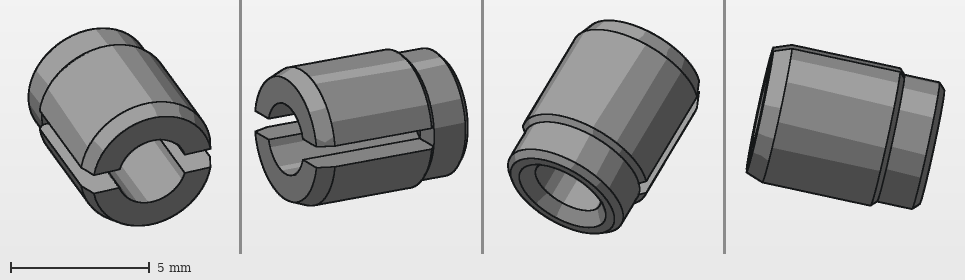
import cadquery as cq

length = 6.35
body_radius = 2.54
collar_radius = 2.34
bore_radius = 1.33

collar_length = 1.525
collar_chamfer = 0.235
countersink_radius = 1.76
countersink_depth = countersink_radius - bore_radius

shoulder_chamfer = body_radius - collar_radius
lead_in_length = 0.635
lead_in_radius = 2.305
slot_width = 0.795


def make_sleeve():
    """Revolve the half section, given as (X, radius), about the X axis."""
    section = [
        (0, countersink_radius),
        (0, collar_radius - collar_chamfer),
        (collar_chamfer, collar_radius),
        (collar_length, collar_radius),
        (collar_length + shoulder_chamfer, body_radius),
        (length - lead_in_length, body_radius),
        (length, lead_in_radius),
        (length, bore_radius),
        (countersink_depth, bore_radius),
    ]
    return cq.Workplane("XY").polyline(section).close().revolve(360, (0, 0, 0), (1, 0, 0))


def make_slot():
    """Slot across both walls, from the shoulder out through the open end."""
    slot_length = length - collar_length
    return (
        cq.Workplane("XY")
        .box(slot_length, 2 * body_radius, slot_width, centered=(False, True, True))
        .translate((collar_length, 0, 0))
    )


result = make_sleeve().cut(make_slot())